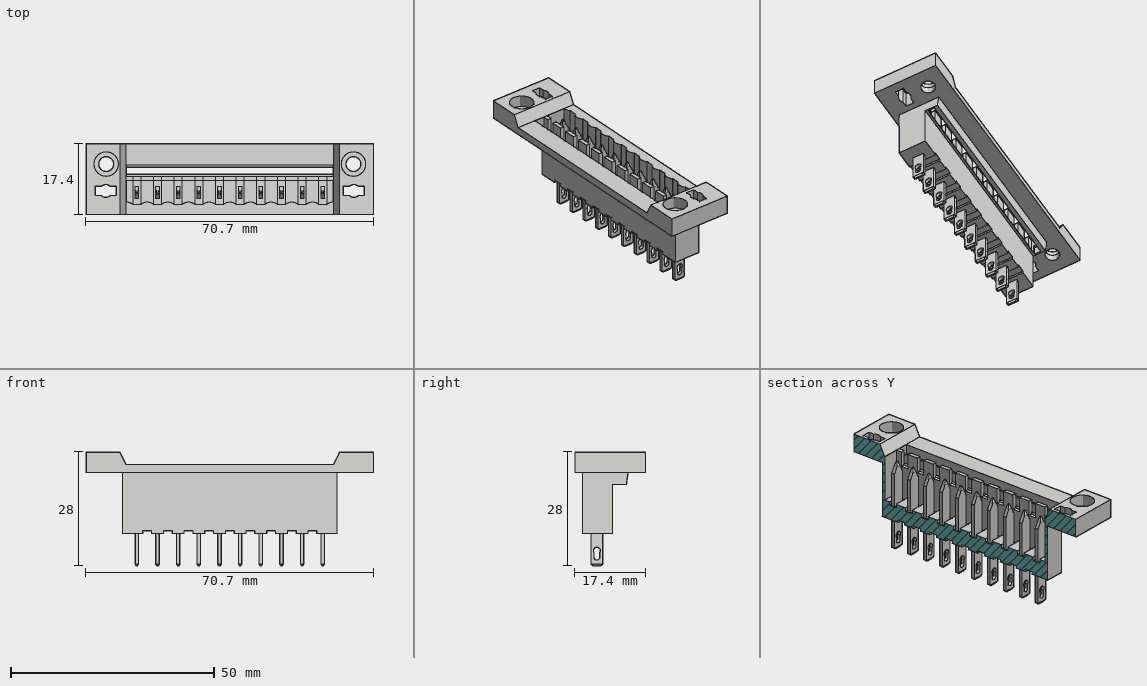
import cadquery as cq


pin_count = 10
pitch = 5.08
pin_positions = [(i - (pin_count - 1) / 2) * pitch for i in range(pin_count)]
gap_positions = [x + pitch / 2 for x in pin_positions[:-1]]
cavity_length = pin_count * pitch

flange_length = 70.72
flange_depth = 17.4
ear_height = 5.0
rail_height = 2.0
ear_slope_top_x = 27.0
ear_slope_foot_x = 25.5

screw_x = 30.4
key_x = 30.5
screw_y = 12.4
screw_diameter = 3.6
counterbore_diameter = 6.0
counterbore_depth = 3.0
key_y = 5.8
key_length = 5.1
key_width = 2.2
key_round_diameter = 3.1

end_wall = 1.0
body_length = cavity_length + 2 * end_wall
body_front_y = 1.8
body_back_y = 9.25
body_height = 15.0
lip_drop = 3.0
lip_top_y = 13.1
lip_bottom_y = 12.7
foot_notch_width = 2.1
foot_notch_height = 0.65

cavity_front_y = 2.48
bump_crest_y = 3.05
cavity_floor_z = -10.0
trench_width = 2.0
trench_front_y = 2.4
trench_floor_z = -11.0

comb_front_y = 8.35
comb_back_y = 9.4
comb_slot_floor_z = -2.0
catch_projection = 0.5
catch_top_z = comb_slot_floor_z

rail_front_y = 12.15
lip_front_y = 11.6
lip_step_z = -0.5
undercut_end_wall = 0.4

blade_y = 5.4
blade_width = 3.0
blade_thickness = 0.9
blade_shoulder_width = 1.1
blade_top_z = 1.0
blade_tip_height = 1.2
blade_shoulder_height = 1.7
blade_crest_width = 0.3
blade_crest_thickness = 0.3
blade_bottom_z = -23.0
blade_end_height = 0.5
blade_end_width = 1.8
blade_end_thickness = 0.3
eyelet_width = 1.35
eyelet_round_diameter = 1.65
eyelet_top_z = -18.4
eyelet_bottom_z = -21.5


def block(x_min, x_max, y_min, y_max, z_min, z_max):
    """Axis-aligned box between the given limits."""
    box = cq.Workplane("XY").box(x_max - x_min, y_max - y_min, z_max - z_min, centered=False)
    return box.translate((x_min, y_min, z_min))


def strip(x, width, y_min, y_max, z_min, z_max):
    """Box of the given width centred at x."""
    return block(x - width / 2, x + width / 2, y_min, y_max, z_min, z_max)


def extrude_side_profile(points, length):
    """Extrude a YZ profile along X, centred on the row."""
    return cq.Workplane("YZ").polyline(points).close().extrude(length / 2, both=True)


def make_flange():
    """Flange plate with a low middle and raised, sloped ears at both ends."""
    half_length = flange_length / 2
    profile = [
        (-half_length, 0),
        (half_length, 0),
        (half_length, ear_height),
        (ear_slope_top_x, ear_height),
        (ear_slope_foot_x, rail_height),
        (-ear_slope_foot_x, rail_height),
        (-ear_slope_top_x, ear_height),
        (-half_length, ear_height),
    ]
    return cq.Workplane("XZ").polyline(profile).close().extrude(-flange_depth)


def make_body():
    """Body with a snap lip at its upper back and foot notches between the pins."""
    profile = [
        (body_front_y, 0),
        (body_front_y, -body_height),
        (body_back_y, -body_height),
        (body_back_y, -lip_drop),
        (lip_bottom_y, -lip_drop),
        (lip_top_y, 0),
    ]
    body = extrude_side_profile(profile, body_length)
    for x in gap_positions:
        notch_top = foot_notch_height - body_height
        body = body.cut(strip(x, foot_notch_width, body_front_y, body_back_y, -body_height, notch_top))
    return body


def make_back_gap():
    """Through gap behind the comb wall, undercut at both ends below the lip step.

    The front side of the gap leaves the sloped catch standing on the comb wall.
    """
    profile = [
        (comb_back_y, rail_height),
        (comb_back_y, catch_top_z),
        (comb_back_y + catch_projection, -lip_drop),
        (lip_front_y, -lip_drop),
        (lip_front_y, lip_step_z),
        (rail_front_y, lip_step_z),
        (rail_front_y, rail_height),
    ]
    gap = extrude_side_profile(profile, cavity_length)
    undercut_front_y = comb_back_y + catch_projection
    undercut_length = body_length - 2 * undercut_end_wall
    undercut = strip(0, undercut_length, undercut_front_y, lip_front_y, -lip_drop, lip_step_z)
    return gap.union(undercut)


def make_cavity():
    """Front cavity: rounded bumps stand on its front wall, a trench runs past each blade."""
    cavity = strip(0, cavity_length, cavity_front_y, comb_front_y, cavity_floor_z, rail_height)
    bump_half_width = (pitch - trench_width) / 2
    bump_rise = bump_crest_y - cavity_front_y
    bump_radius = (bump_half_width**2 + bump_rise**2) / (2 * bump_rise)
    bump_positions = gap_positions + [-cavity_length / 2, cavity_length / 2]
    for x in bump_positions:
        bump = cq.Workplane("XY").circle(bump_radius).extrude(rail_height - cavity_floor_z)
        cavity = cavity.cut(bump.translate((x, bump_crest_y - bump_radius, cavity_floor_z)))
    for x in pin_positions:
        trench = strip(x, trench_width, trench_front_y, comb_front_y, trench_floor_z, rail_height)
        comb_slot = strip(x, trench_width, comb_front_y, comb_back_y, comb_slot_floor_z, rail_height)
        cavity = cavity.union(trench).union(comb_slot)
    return cavity


def make_ear_openings(side):
    """Counterbored screw hole and keyed opening of one ear; side is -1 (left) or 1 (right)."""
    screw_plane = cq.Workplane("XY").center(side * screw_x, screw_y)
    screw = screw_plane.circle(screw_diameter / 2).extrude(ear_height)
    bore_plane = screw_plane.workplane(offset=ear_height - counterbore_depth)
    bore = bore_plane.circle(counterbore_diameter / 2).extrude(counterbore_depth)
    key_plane = cq.Workplane("XY").center(side * key_x, key_y)
    key = key_plane.rect(key_length, key_width).extrude(ear_height)
    key_round = key_plane.circle(key_round_diameter / 2).extrude(ear_height)
    return screw.union(bore).union(key).union(key_round)


def taper(z_start, size_start, z_end, size_end):
    """Straight transition between two rectangles (X size, Y size) at two heights."""
    sketch = cq.Workplane("XY", origin=(0, blade_y, z_start)).rect(*size_start)
    return sketch.workplane(offset=z_end - z_start).rect(*size_end).loft(ruled=True)


def make_blade():
    """Flat contact blade with a two-step tapered top, a chamfered lower end and an eyelet."""
    full = (blade_thickness, blade_width)
    shoulder = (blade_thickness, blade_shoulder_width)
    crest = (blade_crest_thickness, blade_crest_width)
    lower_end = (blade_end_thickness, blade_end_width)
    tip_z = blade_top_z - blade_tip_height
    shoulder_z = tip_z - blade_shoulder_height
    shank_bottom_z = blade_bottom_z + blade_end_height
    blade = taper(shank_bottom_z, full, shoulder_z, full)
    blade = blade.union(taper(shoulder_z, full, tip_z, shoulder))
    blade = blade.union(taper(tip_z, shoulder, blade_top_z, crest))
    blade = blade.union(taper(shank_bottom_z, full, blade_bottom_z, lower_end))
    return blade.cut(make_eyelet())


def make_eyelet():
    """Slot through the blade, widened to a round at its upper end."""
    round_z = eyelet_top_z - eyelet_round_diameter / 2
    slot_length = eyelet_top_z - eyelet_bottom_z
    slot_z = (eyelet_top_z + eyelet_bottom_z) / 2
    slot = cq.Workplane("YZ").center(blade_y, slot_z).slot2D(slot_length, eyelet_width, 90)
    upper_round = cq.Workplane("YZ").center(blade_y, round_z).circle(eyelet_round_diameter / 2)
    return slot.extrude(blade_thickness, both=True).union(upper_round.extrude(blade_thickness, both=True))


housing = make_flange().union(make_body())
housing = housing.cut(make_back_gap()).cut(make_cavity())
for ear_side in (-1, 1):
    housing = housing.cut(make_ear_openings(ear_side))

contact = make_blade()
for pin_x in pin_positions:
    housing = housing.union(contact.translate((pin_x, 0, 0)))

result = housing